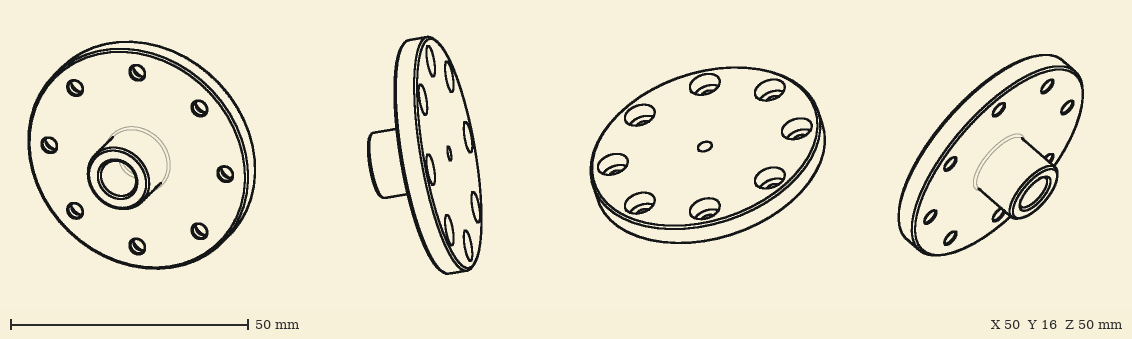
import cadquery as cq
import math

flange_diameter = 50.0
flange_thickness = 5.0
flange_chamfer = 0.5

hub_diameter = 14.0
hub_length = 11.0
hub_tip_chamfer = 0.5
hub_root_fillet = 0.5

bore_diameter = 8.0
bore_depth = hub_length
bore_mouth_chamfer = 0.5
bore_floor_fillet = 0.5

center_hole_diameter = 3.0

mount_hole_count = 8
mount_circle_diameter = 40.0
mount_hole_diameter = 3.2
mount_hole_chamfer = 0.2

counterbore_diameter = 6.5
counterbore_depth = 3.2

flange_front_y = 0.0
flange_back_y = flange_front_y + flange_thickness
hub_tip_y = flange_front_y - hub_length


def cylinder(diameter, start_y, length, x=0.0, z=0.0):
    """Cylinder along +Y whose first end is centred at (x, start_y, z)."""
    return cq.Workplane(
        cq.Solid.makeCylinder(diameter / 2, length, cq.Vector(x, start_y, z), cq.Vector(0, 1, 0))
    )


def make_flange():
    disc = cylinder(flange_diameter, flange_front_y, flange_thickness)
    return disc.edges().chamfer(flange_chamfer)


def make_hub():
    post = cylinder(hub_diameter, hub_tip_y, hub_length)
    return post.faces("<Y").edges().chamfer(hub_tip_chamfer)


def fillet_hub_root(body):
    """Round the corner where the hub meets the front face of the flange."""
    front_face = body.faces("|Y").faces("<Y[1]")
    return front_face.edges(cq.selectors.RadiusNthSelector(0)).fillet(hub_root_fillet)


def make_bore():
    """Cutter for the bore, with a rounded floor and a flared mouth."""
    bore = cylinder(bore_diameter, hub_tip_y, bore_depth)
    bore = bore.faces(">Y").edges().fillet(bore_floor_fillet)
    return bore.union(make_flare(bore_diameter, bore_mouth_chamfer, hub_tip_y))


def make_flare(hole_diameter, chamfer, face_y, x=0.0, z=0.0):
    """Cone that chamfers the mouth of a hole entering a -Y facing surface."""
    hole_radius = hole_diameter / 2
    return cq.Workplane(
        cq.Solid.makeCone(
            hole_radius + chamfer, hole_radius, chamfer, cq.Vector(x, face_y, z), cq.Vector(0, 1, 0)
        )
    )


def make_mount_hole(x, z):
    """Cutter for one mounting hole: front chamfer, shank and back counterbore."""
    shank = cylinder(mount_hole_diameter, flange_front_y, flange_thickness, x, z)
    flare = make_flare(mount_hole_diameter, mount_hole_chamfer, flange_front_y, x, z)
    counterbore_floor_y = flange_back_y - counterbore_depth
    counterbore = cylinder(counterbore_diameter, counterbore_floor_y, counterbore_depth, x, z)
    return shank.union(flare).union(counterbore)


def cut_mount_holes(body):
    mount_circle_radius = mount_circle_diameter / 2
    for index in range(mount_hole_count):
        angle = 2 * math.pi * index / mount_hole_count
        x = mount_circle_radius * math.cos(angle)
        z = mount_circle_radius * math.sin(angle)
        body = body.cut(make_mount_hole(x, z))
    return body


def make_center_hole():
    return cylinder(center_hole_diameter, hub_tip_y, flange_back_y - hub_tip_y)


part = make_flange().union(make_hub())
part = fillet_hub_root(part)
part = part.cut(make_bore())
part = part.cut(make_center_hole())
result = cut_mount_holes(part)